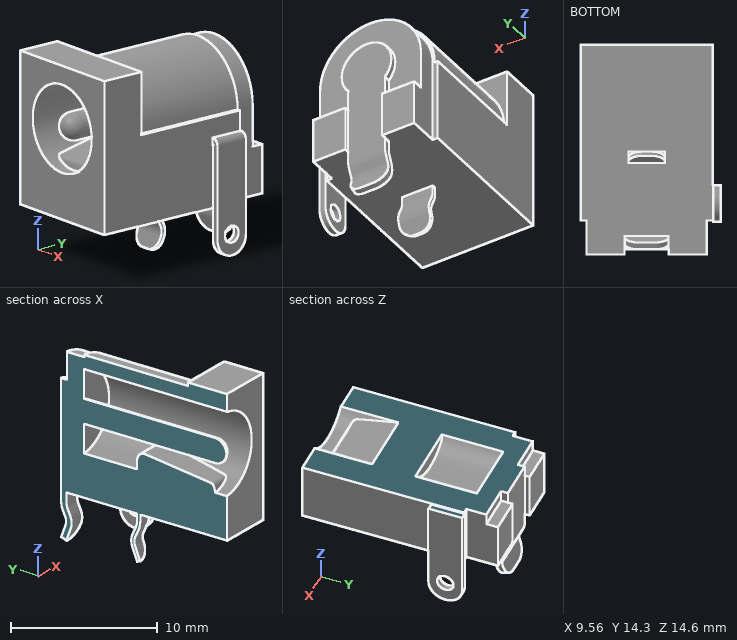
import cadquery as cq
import math


overall_height = 14.59

body_width = 9.0
body_height = 11.0
flange_depth = 3.28
barrel_end = 11.98
barrel_radius = 4.26
collar_end = 13.45
collar_radius = 4.1
axis_z = body_height - body_width / 2

bore_diameter = 6.3
bore_depth = barrel_end
pin_radius = 2.0 / 2

lug_end = 14.3
lug_height = 3.52

center_contact_width = 2.99
center_contact_thickness = 0.5
rivet_diameter = 4.03

spring_contact_width = 2.48
spring_contact_thickness = 0.3
spring_leg_rear = 7.57
spring_nose_y = 1.14
spring_nose_z = 3.97
spring_slope = 7.0
spring_nose_lean = 16.0
spring_bend_radius = 0.38
spring_heel_radius = 0.65
spring_foot_overlap = 0.15

leg_depth = overall_height - body_height
leg_lean = 25.0
leg_tip_radius = 0.99

tab_thickness = 0.51
tab_gap = 0.05
tab_width = 2.51
tab_center_y = 10.81
tab_top = 5.03
tab_bottom = -3.5
tab_hole_diameter = 1.2
tab_hole_z = -1.98


def box(x_min, x_max, y_min, y_max, z_min, z_max):
    size = (x_max - x_min, y_max - y_min, z_max - z_min)
    return cq.Workplane("XY").box(*size, centered=False).translate((x_min, y_min, z_min))


def cylinder_along_y(radius, y_min, y_max):
    """Cylinder on the socket axis."""
    plane = cq.Workplane("XZ", origin=(0, y_min, axis_z))
    return plane.circle(radius).extrude(y_min - y_max)


def housing():
    half_width = body_width / 2
    flange = box(-half_width, half_width, 0, flange_depth, 0, body_height)
    base = box(-half_width, half_width, 0, barrel_end, 0, axis_z)
    barrel = cylinder_along_y(barrel_radius, 0, barrel_end)
    collar_base = box(-collar_radius, collar_radius, barrel_end, collar_end, 0, axis_z)
    collar = cylinder_along_y(collar_radius, barrel_end, collar_end).union(collar_base)
    solid = flange.union(base).union(barrel).union(collar)
    lug = box(center_contact_width / 2, collar_radius, barrel_end, lug_end, 0, lug_height)
    return solid.union(lug).union(lug.mirror("YZ"))


def spring_ramp():
    """Leaf spring rising to the rear; the space below it is filled."""
    foot_z = axis_z - bore_diameter / 2 - spring_foot_overlap
    foot_y = spring_nose_y - (spring_nose_z - foot_z) * math.tan(math.radians(spring_nose_lean))
    heel_z = spring_nose_z + (spring_leg_rear - spring_nose_y) * math.tan(math.radians(spring_slope))
    profile = [
        (foot_y, foot_z),
        (spring_nose_y, spring_nose_z),
        (spring_leg_rear, heel_z),
        (spring_leg_rear, foot_z),
    ]
    ramp = cq.Workplane("YZ").polyline(profile).close().extrude(bore_diameter / 2, both=True)
    ramp = ramp.edges("|X").edges(">Z").fillet(spring_heel_radius)
    nose = cq.selectors.NearestToPointSelector((0, spring_nose_y, spring_nose_z))
    return ramp.edges("|X").edges(nose).fillet(spring_bend_radius)


def socket():
    """Space to remove: the bore less the spring standing in it."""
    return cylinder_along_y(bore_diameter / 2, 0, bore_depth).cut(spring_ramp())


def center_pin():
    shank = cylinder_along_y(pin_radius, pin_radius, collar_end)
    tip = cq.Workplane("XY").sphere(pin_radius)
    tip = tip.rotate((0, 0, 0), (1, 0, 0), 90).translate((0, pin_radius, axis_z))
    return shank.union(tip)


def soldering_leg(y, side, width, thickness, straight, bend_radius, slant, knee_radius, return_lean):
    """Strip that leans along Y (side +1 rear, -1 front) to a knee and back to its tip."""
    lean = math.radians(leg_lean)
    back = math.radians(return_lean)

    def arc_point(start, radius, angle_from, angle_to):
        """Point on a bend; angles are the strip direction measured from straight down."""
        across = radius * abs(math.cos(angle_to) - math.cos(angle_from))
        down = radius * abs(math.sin(angle_to) - math.sin(angle_from))
        towards = side if angle_from + angle_to > 0 else -side
        return start[0] + towards * across, start[1] - down

    bend_start = (y, -straight)
    bend_middle = arc_point(bend_start, bend_radius, 0, lean / 2)
    bend_end = arc_point(bend_start, bend_radius, 0, lean)
    slant_end = (bend_end[0] + side * slant * math.sin(lean), bend_end[1] - slant * math.cos(lean))
    knee = arc_point(slant_end, knee_radius, lean, 0)
    knee_end = arc_point(knee, knee_radius, 0, -back)
    tip_z = -leg_depth + thickness / 2 * math.sin(back)
    tip_y = knee_end[0] - side * (knee_end[1] - tip_z) * math.tan(back)

    path = (
        cq.Workplane("YZ")
        .moveTo(y, 0)
        .lineTo(*bend_start)
        .threePointArc(bend_middle, bend_end)
        .lineTo(*slant_end)
        .threePointArc(knee, knee_end)
        .lineTo(tip_y, tip_z)
    )
    strip = cq.Workplane("XY", origin=(0, y, 0)).rect(width, thickness).sweep(path)
    return strip.faces("<Z").edges("not |X").fillet(leg_tip_radius)


def center_contact():
    rear_face = collar_end + center_contact_thickness
    half_width = center_contact_width / 2
    plate = box(-half_width, half_width, collar_end, rear_face, 0, axis_z)
    rivet = cylinder_along_y(rivet_diameter / 2, collar_end, rear_face)
    leg = soldering_leg(
        y=collar_end + center_contact_thickness / 2,
        side=-1,
        width=center_contact_width,
        thickness=center_contact_thickness,
        straight=0.79,
        bend_radius=1.15,
        slant=0.53,
        knee_radius=0.96,
        return_lean=20.0,
    )
    return plate.union(rivet).union(leg)


def spring_leg():
    return soldering_leg(
        y=spring_leg_rear - spring_contact_thickness / 2,
        side=1,
        width=spring_contact_width,
        thickness=spring_contact_thickness,
        straight=0.5,
        bend_radius=1.46,
        slant=0.63,
        knee_radius=1.02,
        return_lean=22.0,
    )


def side_tab():
    """Strip leaving the +X wall, bent down and ending in a round eye."""
    wall = body_width / 2
    inner = wall + tab_gap
    outer = inner + tab_thickness
    y_min = tab_center_y - tab_width / 2
    y_max = tab_center_y + tab_width / 2
    eye_radius = tab_width / 2
    eye_z = tab_bottom + eye_radius
    strip = box(wall, outer, y_min, y_max, eye_z, tab_top)
    strip = strip.cut(box(wall, inner, y_min, y_max, eye_z, tab_top - tab_thickness))
    strip = strip.edges("|Y").edges(">X and >Z").fillet(tab_thickness)
    inner_face = cq.Workplane("YZ", origin=(inner, tab_center_y, 0))
    eye = inner_face.center(0, eye_z).circle(eye_radius).extrude(tab_thickness)
    hole = inner_face.center(0, tab_hole_z).circle(tab_hole_diameter / 2).extrude(tab_thickness)
    return strip.union(eye).cut(hole)


result = housing().cut(socket())
for piece in (center_pin(), center_contact(), spring_leg(), side_tab()):
    result = result.union(piece)